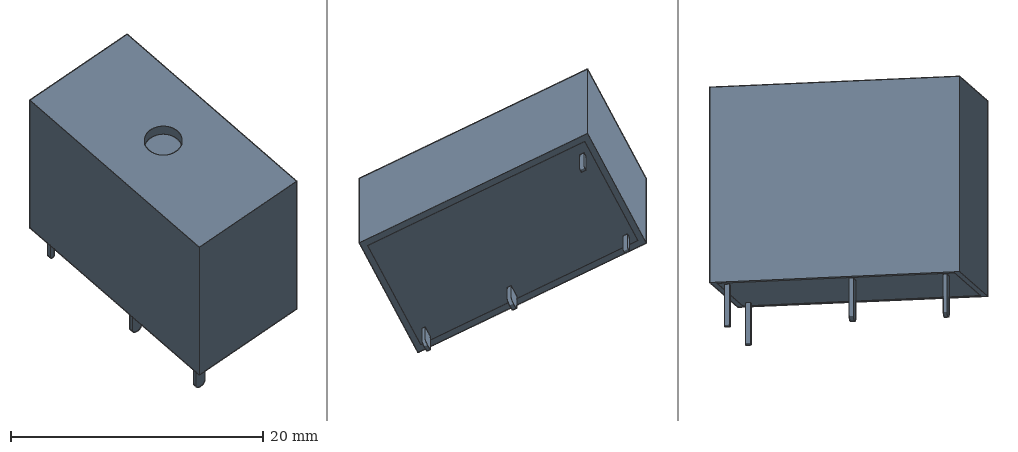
import cadquery as cq

length = 20.3
width = 10.31
height = 15.8
side_wall = 0.5
top_wall = 1.0
vent_diameter = 3.0

pin_drop = 3.4
pin_pitch_y = 7.62
coil_to_common = 10.16
common_to_contact = 7.62
front_row_y = -3.97
back_row_y = front_row_y + pin_pitch_y
coil_x = -8.97
common_x = coil_x + coil_to_common
contact_x = common_x + common_to_contact

coil_pin_thickness = 0.4
coil_pin_width = 0.38
coil_tip_radius = 0.16
blade_width = 0.98
blade_tip_radius = 0.48
common_blade_thickness = 0.35
contact_blade_thickness = 0.3


def make_block():
    """Inner block of the base, which is also the shape of the cavity in the cover."""
    block_length = length - 2 * side_wall
    block_width = width - 2 * side_wall
    block_height = height - top_wall
    return cq.Workplane("XY").box(block_length, block_width, block_height, centered=(True, True, False))


def make_cover():
    """Hollow box with a round vent over the middle of the inner block."""
    shell = cq.Workplane("XY").box(length, width, height, centered=(True, True, False))
    vent = (
        cq.Workplane("XY", origin=(0, 0, height - top_wall))
        .circle(vent_diameter / 2)
        .extrude(top_wall)
    )
    return shell.cut(make_block()).cut(vent)


def make_pin(x, y, thickness, pin_width, tip_radius):
    """Flat pin below the base, its tip rounded across the Y width."""
    return (
        cq.Workplane("XY", origin=(x, y, -pin_drop))
        .box(thickness, pin_width, pin_drop, centered=(True, True, False))
        .edges("|X and <Z")
        .fillet(tip_radius)
    )


def make_base():
    """Block that fills the cover and carries all four pins."""
    base = make_block()
    for y in (front_row_y, back_row_y):
        base = base.union(make_pin(coil_x, y, coil_pin_thickness, coil_pin_width, coil_tip_radius))
    for x, thickness in (
        (common_x, common_blade_thickness),
        (contact_x, contact_blade_thickness),
    ):
        base = base.union(make_pin(x, front_row_y, thickness, blade_width, blade_tip_radius))
    return base


cover = make_cover()
base = make_base()

result = cq.Compound.makeCompound([cover.val(), base.val()])